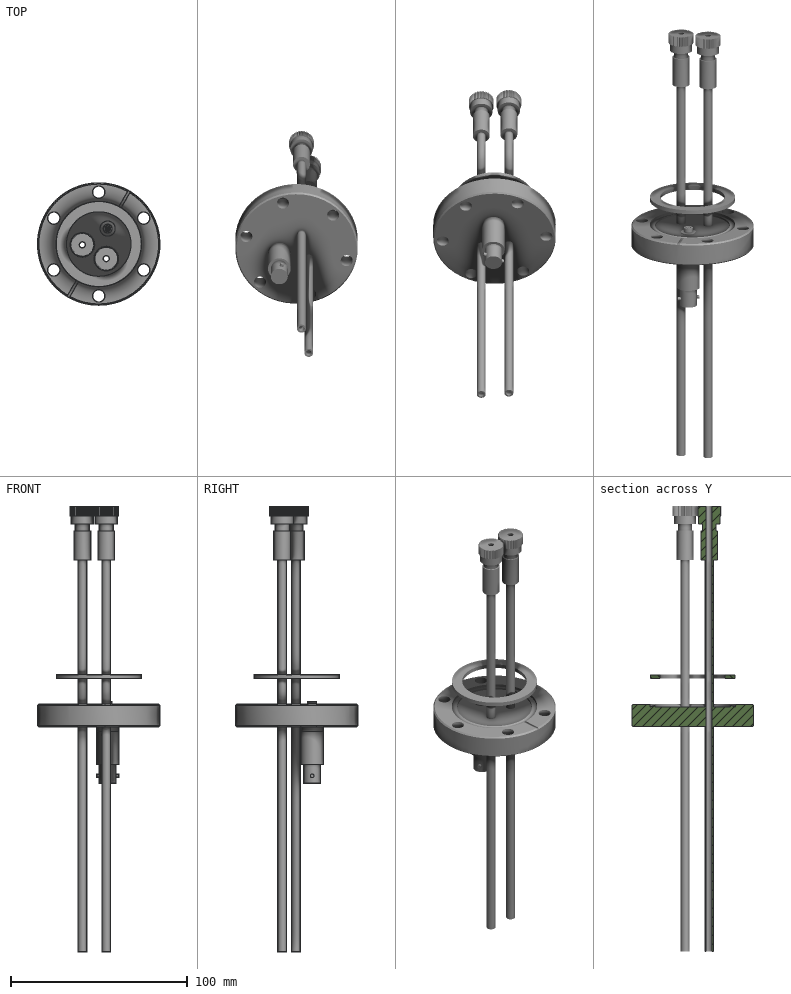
import cadquery as cq
import math


TOP_Z = 111.8
OVERALL_HEIGHT = 251.7
BOTTOM_Z = TOP_Z - OVERALL_HEIGHT

FLANGE_DIAMETER = 69.2
FLANGE_THICKNESS = 12.8
FLANGE_CHAMFER = 0.8
BOLT_COUNT = 6
BOLT_DIAMETER = 6.8
BOLT_CIRCLE_DIAMETER = 58.6

RECESS_DIAMETER = 48.3
RECESS_DEPTH = 1.5
KNIFE_DIAMETER = 42.3
KNIFE_DEPTH = 0.5
FLOOR_Z = -RECESS_DEPTH

GROOVE_ANGLE = 60
GROOVE_WIDTH = 1.5
GROOVE_DEPTH = 0.8

RING_OUTER_DIAMETER = 48.0
RING_INNER_DIAMETER = 36.5
RING_THICKNESS = 2.3
RING_BOTTOM_Z = 14.3

TUBE_DIAMETER = 5.0
TUBE_BORE = 3.3
TUBE_SPACING = 15.5
TUBE_OFFSET = 5.0

CAP_DIAMETER = 14.0
CAP_DEPTH = 5.5
KNURL_COUNT = 48
KNURL_ROOT_DIAMETER = 13.0
COLLAR_DIAMETER = 12.5
COLLAR_DEPTH = 10.0
NECK_DIAMETER = 8.0
NECK_DEPTH = 13.8
SLEEVE_DIAMETER = 9.5
SLEEVE_DEPTH = 30.5

CONNECTOR_RADIUS = 10.0
CONNECTOR_ANGLE = 60
SHOULDER_DIAMETER = 12.5
BODY_DIAMETER = 12.8
BODY_TOP_Z = -15.4
BODY_BOTTOM_Z = -34.2
PLUG_DIAMETER = 9.5
PLUG_BOTTOM_Z = -44.8
BAYONET_DIAMETER = 2.05
BAYONET_SPAN = 12.5
BAYONET_Z = -40.5
VENT_DIAMETER = 0.95
VENT_DEPTH = 2.0
VENT_Z = -17.4
SEAT_DIAMETER = 8.5
SEAT_HEIGHT = 0.5
SOCKET_DIAMETER = 4.8
SOCKET_LIP_DIAMETER = 5.0
SOCKET_LIP_HEIGHT = 1.0
SOCKET_BORE = 3.3
SOCKET_BORE_DEPTH = 1.5
SOCKET_TOP_Z = 1.5
CONTACT_DIAMETER = 2.05
CONTACT_BORE = 0.95


def cylinder(diameter, bottom_z, top_z, centre=(0, 0)):
    return (
        cq.Workplane("XY", origin=(*centre, bottom_z))
        .circle(diameter / 2)
        .extrude(top_z - bottom_z)
    )


def polar(radius, angle):
    return radius * math.cos(math.radians(angle)), radius * math.sin(math.radians(angle))


def make_flange():
    rim = FLANGE_DIAMETER / 2
    recess = RECESS_DIAMETER / 2
    knife = KNIFE_DIAMETER / 2
    flange = (
        cq.Workplane("YZ")
        .moveTo(0, FLOOR_Z)
        .lineTo(-knife, FLOOR_Z)
        .lineTo(-knife, -KNIFE_DEPTH)
        .lineTo(-recess, FLOOR_Z)
        .lineTo(-recess, 0)
        .lineTo(FLANGE_CHAMFER - rim, 0)
        .lineTo(-rim, -FLANGE_CHAMFER)
        .lineTo(-rim, FLANGE_CHAMFER - FLANGE_THICKNESS)
        .lineTo(FLANGE_CHAMFER - rim, -FLANGE_THICKNESS)
        .lineTo(0, -FLANGE_THICKNESS)
        .close()
        .revolve(360, (0, 0, 0), (0, 1, 0))
    )
    bolt_holes = (
        cq.Workplane("XY")
        .polarArray(BOLT_CIRCLE_DIAMETER / 2, 90, 360, BOLT_COUNT)
        .circle(BOLT_DIAMETER / 2)
        .extrude(-FLANGE_THICKNESS)
    )
    flange = flange.cut(bolt_holes)
    groove_length = (FLANGE_DIAMETER - RECESS_DIAMETER) / 2
    for angle in (GROOVE_ANGLE, GROOVE_ANGLE + 180):
        groove = (
            cq.Workplane("XY")
            .box(groove_length, GROOVE_WIDTH, 2 * GROOVE_DEPTH)
            .translate((RECESS_DIAMETER / 2 + groove_length / 2, 0, 0))
            .rotate((0, 0, 0), (0, 0, 1), angle)
        )
        flange = flange.cut(groove)
    return flange


def make_knurled_cap(centre):
    outline = []
    for i in range(2 * KNURL_COUNT):
        diameter = CAP_DIAMETER if i % 2 == 0 else KNURL_ROOT_DIAMETER
        outline.append(polar(diameter / 2, 180 * i / KNURL_COUNT))
    cap_base = cq.Workplane("XY", origin=(*centre, TOP_Z - CAP_DEPTH))
    return cap_base.polyline(outline).close().extrude(CAP_DEPTH)


def make_tube(centre):
    """Tube running the full height with a knurled fitting at its top; the bore is cut later."""
    tube = cylinder(TUBE_DIAMETER, BOTTOM_Z, TOP_Z, centre)
    tube = tube.union(cylinder(SLEEVE_DIAMETER, TOP_Z - SLEEVE_DEPTH, TOP_Z - NECK_DEPTH, centre))
    tube = tube.union(cylinder(NECK_DIAMETER, TOP_Z - NECK_DEPTH, TOP_Z - COLLAR_DEPTH, centre))
    tube = tube.union(cylinder(COLLAR_DIAMETER, TOP_Z - COLLAR_DEPTH, TOP_Z - CAP_DEPTH, centre))
    return tube.union(make_knurled_cap(centre))


def make_connector():
    """Connector built about Z, then moved to its place on the flange."""
    connector = cylinder(SHOULDER_DIAMETER, BODY_TOP_Z, -FLANGE_THICKNESS)
    connector = connector.union(cylinder(BODY_DIAMETER, BODY_BOTTOM_Z, BODY_TOP_Z))
    connector = connector.union(cylinder(PLUG_DIAMETER, PLUG_BOTTOM_Z, BODY_BOTTOM_Z))
    bayonet = (
        cq.Workplane("YZ", origin=(-BAYONET_SPAN / 2, 0, BAYONET_Z))
        .circle(BAYONET_DIAMETER / 2)
        .extrude(BAYONET_SPAN)
    )
    connector = connector.union(bayonet)
    vent = (
        cq.Workplane("YZ", origin=(-BODY_DIAMETER / 2, 0, VENT_Z))
        .circle(VENT_DIAMETER / 2)
        .extrude(VENT_DEPTH)
        .rotate((0, 0, 0), (0, 0, 1), CONNECTOR_ANGLE)
    )
    connector = connector.cut(vent)
    connector = connector.union(cylinder(SEAT_DIAMETER, -FLANGE_THICKNESS, FLOOR_Z + SEAT_HEIGHT))
    connector = connector.union(cylinder(SOCKET_DIAMETER, FLOOR_Z, SOCKET_TOP_Z))
    lip_bottom_z = SOCKET_TOP_Z - SOCKET_LIP_HEIGHT
    connector = connector.union(cylinder(SOCKET_LIP_DIAMETER, lip_bottom_z, SOCKET_TOP_Z))
    connector = connector.cut(cylinder(SOCKET_BORE, SOCKET_TOP_Z - SOCKET_BORE_DEPTH, SOCKET_TOP_Z))
    connector = connector.union(cylinder(CONTACT_DIAMETER, FLOOR_Z, SOCKET_TOP_Z))
    connector = connector.cut(cylinder(CONTACT_BORE, SOCKET_TOP_Z - SOCKET_BORE_DEPTH, SOCKET_TOP_Z))
    return connector.translate((*polar(CONNECTOR_RADIUS, CONNECTOR_ANGLE), 0))


def make_feedthrough():
    feedthrough = make_flange().union(make_connector())
    back_x, back_y = polar(TUBE_OFFSET, CONNECTOR_ANGLE + 180)
    side_x, side_y = polar(TUBE_SPACING / 2, CONNECTOR_ANGLE + 90)
    for side in (-1, 1):
        centre = (back_x + side * side_x, back_y + side * side_y)
        feedthrough = feedthrough.union(make_tube(centre))
        feedthrough = feedthrough.cut(cylinder(TUBE_BORE, BOTTOM_Z, TOP_Z, centre))
    return feedthrough


def make_sealing_ring():
    ring_top_z = RING_BOTTOM_Z + RING_THICKNESS
    ring = cylinder(RING_OUTER_DIAMETER, RING_BOTTOM_Z, ring_top_z)
    return ring.cut(cylinder(RING_INNER_DIAMETER, RING_BOTTOM_Z, ring_top_z))


feedthrough = make_feedthrough()
sealing_ring = make_sealing_ring()
result = cq.Compound.makeCompound([feedthrough.val(), sealing_ring.val()])